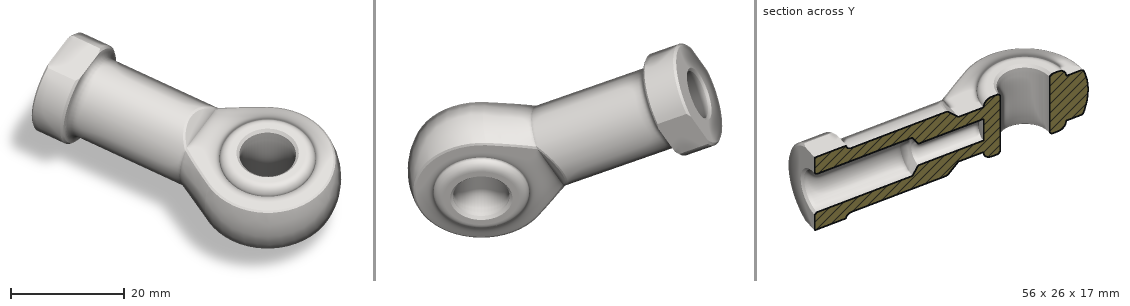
import cadquery as cq
import math

eye_radius = 13.0
eye_thickness = 10.5
edge_chamfer = 0.25

shank_radius = 7.5
collar_start_x = -43.0
neck_start_x = -13.6
shank_fillet = 1.0

collar_radius = 9.5
collar_length = 6.5
collar_chamfer = 0.4
collar_across_flats = 17.0

ball_radius = 8.5
ball_width = 14.0
ball_bore_radius = 5.0
ball_bore_chamfer = 0.5

thread_bore_radius = 4.4
thread_bore_depth = 20.0
thread_bore_chamfer = 0.45
passage_radius = 2.45
drill_point_half_angle = math.radians(118 / 2)

eye_half_thickness = eye_thickness / 2
ball_half_width = ball_width / 2
collar_end_x = collar_start_x + collar_length

neck_start_distance = math.hypot(neck_start_x, shank_radius)
neck_tangent_angle = (
    math.atan2(shank_radius, neck_start_x) - math.acos(eye_radius / neck_start_distance)
)
neck_end_x = eye_radius * math.cos(neck_tangent_angle)
neck_end_radius = eye_radius * math.sin(neck_tangent_angle)


def make_collar():
    """Round collar with two wrench flats facing +Z and -Z."""
    collar = (
        cq.Workplane("YZ", origin=(collar_start_x, 0, 0))
        .circle(collar_radius)
        .extrude(collar_length)
        .faces("<X or >X")
        .chamfer(collar_chamfer)
    )
    flats = (
        cq.Workplane("XY", origin=(collar_start_x + collar_length / 2, 0, 0))
        .box(collar_length, 2 * collar_radius, collar_across_flats)
    )
    return collar.intersect(flats)


def make_shank():
    """Cylindrical shank with a concave fillet at the collar and chamfered slopes down to the eye."""
    fillet_mid_offset = shank_fillet * (1 - math.sqrt(0.5))
    fillet_top = shank_radius + shank_fillet
    slope_start_x = neck_start_x - (shank_radius - eye_half_thickness)
    shank = (
        cq.Workplane("XZ")
        .moveTo(collar_start_x + collar_length / 2, 0)
        .lineTo(collar_start_x + collar_length / 2, fillet_top)
        .lineTo(collar_end_x, fillet_top)
        .threePointArc(
            (collar_end_x + fillet_mid_offset, shank_radius + fillet_mid_offset),
            (collar_end_x + shank_fillet, shank_radius),
        )
        .lineTo(neck_start_x, shank_radius)
        .lineTo(neck_start_x, 0)
        .close()
        .revolve(360, (0, 0, 0), (1, 0, 0))
    )
    for side in (1, -1):
        wedge = (
            cq.Workplane("XZ")
            .moveTo(slope_start_x, side * shank_radius)
            .lineTo(neck_start_x, side * shank_radius)
            .lineTo(neck_start_x, side * eye_half_thickness)
            .close()
            .extrude(shank_radius, both=True)
        )
        shank = shank.cut(wedge)
    return shank.edges("%ELLIPSE").chamfer(edge_chamfer)


def make_eye():
    """Spherical eye and its conical neck, cut flat on both sides with chamfered rims."""
    body = (
        cq.Workplane("XZ")
        .moveTo(neck_start_x, 0)
        .lineTo(neck_start_x, shank_radius)
        .lineTo(neck_end_x, neck_end_radius)
        .threePointArc((0, eye_radius), (eye_radius, 0))
        .close()
        .revolve(360, (0, 0, 0), (1, 0, 0))
    )
    slab_side = 2 * (eye_radius - neck_start_x)
    slab = cq.Workplane("XY").box(slab_side, slab_side, eye_thickness)
    body = body.intersect(slab)
    rims = body.faces("<Z or >Z").edges("not(<X)")
    return rims.chamfer(edge_chamfer)


def make_ball():
    """Inner ring standing proud of the eye, with rounded outer edges."""
    return (
        cq.Workplane("XY", origin=(0, 0, -ball_half_width))
        .circle(ball_radius)
        .extrude(ball_width)
        .edges()
        .fillet(ball_half_width - eye_half_thickness)
    )


def cut_ball_bore(body):
    """Through bore along Z with a chamfered mouth at both ends."""
    mouth_radius = ball_bore_radius + ball_bore_chamfer
    chamfer_start_z = ball_half_width - ball_bore_chamfer
    bore = (
        cq.Workplane("XZ")
        .moveTo(0, -ball_half_width)
        .lineTo(mouth_radius, -ball_half_width)
        .lineTo(ball_bore_radius, -chamfer_start_z)
        .lineTo(ball_bore_radius, chamfer_start_z)
        .lineTo(mouth_radius, ball_half_width)
        .lineTo(0, ball_half_width)
        .close()
        .revolve(360, (0, 0, 0), (0, 1, 0))
    )
    return body.cut(bore)


def cut_thread_bore(body):
    """Blind bore from the collar end, tapering into a smaller passage that reaches the inner ring."""
    bore_end_x = collar_start_x + thread_bore_depth
    taper_length = (thread_bore_radius - passage_radius) / math.tan(drill_point_half_angle)
    mouth_radius = thread_bore_radius + thread_bore_chamfer
    bore = (
        cq.Workplane("XZ")
        .moveTo(collar_start_x, 0)
        .lineTo(collar_start_x, mouth_radius)
        .lineTo(collar_start_x + thread_bore_chamfer, thread_bore_radius)
        .lineTo(bore_end_x, thread_bore_radius)
        .lineTo(bore_end_x + taper_length, passage_radius)
        .lineTo(0, passage_radius)
        .lineTo(0, 0)
        .close()
        .revolve(360, (0, 0, 0), (1, 0, 0))
    )
    return body.cut(bore)


housing = cut_thread_bore(make_collar().union(make_shank()).union(make_eye()))
result = cut_ball_bore(housing.union(make_ball()))